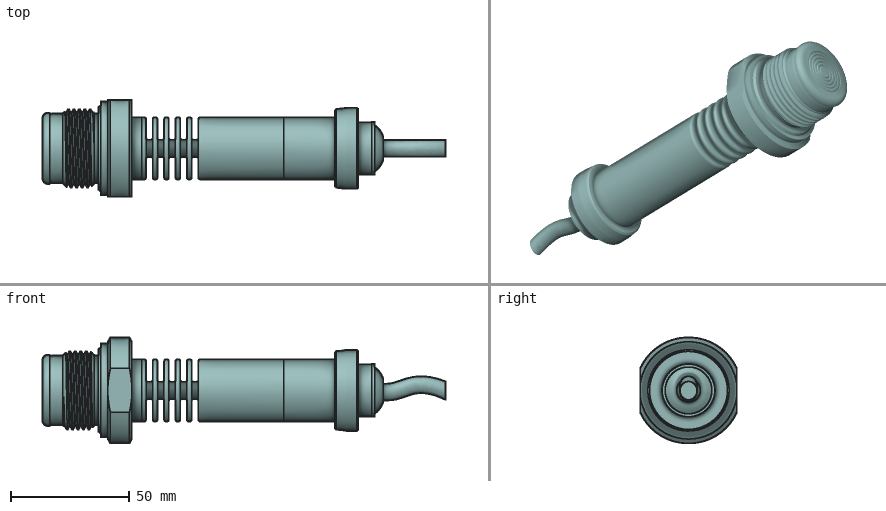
import cadquery as cq
import math


face_radius = 25.13 / 2
head_radius = 30.29 / 2
head_rounding = head_radius - face_radius
head_length = 3.1
head_rim_radius = face_radius + math.sqrt(head_rounding**2 - (head_length - head_rounding) ** 2)
groove_count = 5
groove_pitch = 1.6
groove_first_radius = 3.0
groove_width = 0.8
groove_depth = 0.3

shank_radius = 29.7 / 2
relief_radius = 14.6
relief_end = 4.7
thread_start = 8.75
thread_end = 22.1
thread_radius = 33.25 / 2
thread_pitch = 2.309
thread_depth = 0.6403 * thread_pitch
thread_flat = thread_pitch / 6
thread_chamfer = thread_radius - shank_radius
thread_tool_start = 7.05
thread_tool_turns = 7
thread_tool_overlap = 0.5
collar_start = 24.8
collar_radius = 39.8 / 2
flange_start = 27.8
flange_end = 37.9
flange_radius = 45 / 2
flange_across_flats = 41
flange_chamfer_length = 1.0
flange_chamfer_depth = 1.9
neck_end = 42.0
body_radius = 26.5 / 2

seal_start = 23.7
seal_front_radius = 17.5
seal_radius = 18.2

fin_count = 4
fin_thickness = 2.1
fin_gap = 2.73
fin_root_rounding = 0.5
fin_crest_width = 0.04
fin_rounding = (fin_thickness - fin_crest_width) / 2
fin_pitch = fin_thickness + fin_gap
cooler_shoulder = 43.95
core_radius = 7.5 / 2
tube_end = 102.2

sleeve_end = 123.8
nut_end = 133.8
nut_front_radius = 33.4 / 2
nut_radius = 34.4 / 2
nut_cone_end = 128.8
nut_front_chamfer = 0.7
nut_rear_chamfer = 0.7
gland_rim_start = 139.4
gland_rim_end = 140.6
gland_radius = 22.3 / 2
gland_rim_radius = 22.5 / 2
dome_end = 144.3
dome_base_radius = 9.9
dome_middle = (142.9, 7.7)
dome_tip_radius = 5.0

cable_radius = 7.2 / 2
cable_end = 170.73
cable_overrun = 2.5
cable_end_direction = (1, -0.4)
cable_path = [
    (dome_end, -0.75),
    (149, -0.35),
    (155, 1.6),
    (161.2, 2.4),
    (166.5, 1.45),
    (cable_end + cable_overrun, -1.1),
]


def turned(points):
    """Solid of revolution about X from an outline of (X, radius) points."""
    return cq.Workplane("XY").polyline(points).close().revolve(360, (0, 0, 0), (1, 0, 0))


def make_head():
    blank = (
        cq.Workplane("XY")
        .lineTo(0, face_radius)
        .threePointArc((head_rounding, head_radius), (head_length, head_rim_radius))
        .lineTo(head_length, 0)
        .close()
        .revolve(360, (0, 0, 0), (1, 0, 0))
    )
    for index in range(groove_count):
        radius = groove_first_radius + index * groove_pitch
        groove = (
            cq.Workplane("XY")
            .moveTo(0, radius - groove_width / 2)
            .threePointArc((groove_depth, radius), (0, radius + groove_width / 2))
            .close()
            .revolve(360, (0, 0, 0), (1, 0, 0))
        )
        blank = blank.cut(groove)
    return blank


def make_thread_groove():
    """Helical tool that cuts the space between the thread crests."""
    root_radius = thread_radius - thread_depth
    mouth_half = (thread_pitch - thread_flat) / 2
    root_half = thread_flat / 2
    flank_slope = (mouth_half - root_half) / thread_depth
    outer_half = mouth_half + thread_tool_overlap * flank_slope
    outer_radius = thread_radius + thread_tool_overlap
    helix = cq.Wire.makeHelix(thread_pitch, thread_tool_turns * thread_pitch, root_radius)
    tool = (
        cq.Workplane("XZ")
        .polyline(
            [
                (root_radius, -root_half),
                (root_radius, root_half),
                (outer_radius, outer_half),
                (outer_radius, -outer_half),
            ]
        )
        .close()
        .sweep(cq.Workplane(obj=helix), isFrenet=True)
    )
    return tool.rotate((0, 0, 0), (0, 1, 0), 90).translate((thread_tool_start, 0, 0))


def make_flange():
    disc = turned(
        [
            (flange_start, 0),
            (flange_start, flange_radius - flange_chamfer_depth),
            (flange_start + flange_chamfer_length, flange_radius),
            (flange_end - flange_chamfer_length, flange_radius),
            (flange_end, flange_radius - flange_chamfer_depth),
            (flange_end, 0),
        ]
    )
    flats = cq.Workplane("XY").box(4 * flange_end, flange_across_flats, 4 * flange_radius)
    return disc.intersect(flats)


def make_thread():
    """Cylinder with the helical thread, chamfered at both ends."""
    cylinder = turned(
        [(thread_start, 0), (thread_start, thread_radius), (thread_end, thread_radius), (thread_end, 0)]
    )
    chamfered = turned(
        [
            (thread_start, 0),
            (thread_start, shank_radius),
            (thread_start + thread_chamfer, thread_radius),
            (thread_end - thread_chamfer, thread_radius),
            (thread_end, shank_radius),
            (thread_end, 0),
        ]
    )
    return cylinder.cut(make_thread_groove()).intersect(chamfered)


def make_fitting():
    front_shank = turned(
        [
            (head_length, 0),
            (head_length, relief_radius),
            (relief_end, shank_radius),
            (thread_start, shank_radius),
            (thread_start, 0),
        ]
    )
    rear_shank = turned(
        [
            (thread_end, 0),
            (thread_end, shank_radius),
            (collar_start, shank_radius),
            (collar_start, collar_radius),
            (flange_start, collar_radius),
            (flange_start, body_radius),
            (neck_end, body_radius),
            (neck_end, 0),
        ]
    )
    return make_thread().union(front_shank).union(rear_shank).union(make_flange())


def make_seal():
    return turned(
        [
            (seal_start, shank_radius),
            (seal_start, seal_front_radius),
            (collar_start, seal_radius),
            (collar_start, shank_radius),
        ]
    )


def make_cooler():
    """Tube with deep ring gaps that leave rounded fins on a thin core."""
    cooler = turned([(neck_end, 0), (neck_end, body_radius), (tube_end, body_radius), (tube_end, 0)])
    for index in range(fin_count + 1):
        gap_start = cooler_shoulder + index * fin_pitch
        gap_end = gap_start + fin_gap
        gap = (
            cq.Workplane("XY")
            .moveTo(gap_start + fin_root_rounding, core_radius)
            .radiusArc((gap_start, core_radius + fin_root_rounding), fin_root_rounding)
            .lineTo(gap_start, body_radius - fin_rounding)
            .radiusArc((gap_start - fin_rounding, body_radius), -fin_rounding)
            .lineTo(gap_end + fin_rounding, body_radius)
            .radiusArc((gap_end, body_radius - fin_rounding), -fin_rounding)
            .lineTo(gap_end, core_radius + fin_root_rounding)
            .radiusArc((gap_end - fin_root_rounding, core_radius), fin_root_rounding)
            .close()
            .revolve(360, (0, 0, 0), (1, 0, 0))
        )
        cooler = cooler.cut(gap)
    return cooler


def make_sleeve():
    return turned([(tube_end, 0), (tube_end, body_radius), (sleeve_end, body_radius), (sleeve_end, 0)])


def make_nut():
    return turned(
        [
            (sleeve_end, 0),
            (sleeve_end, nut_front_radius - nut_front_chamfer),
            (sleeve_end + nut_front_chamfer, nut_front_radius),
            (nut_cone_end, nut_radius),
            (nut_end - nut_rear_chamfer, nut_radius),
            (nut_end, nut_radius - nut_rear_chamfer),
            (nut_end, 0),
        ]
    )


def make_gland():
    return (
        cq.Workplane("XY")
        .moveTo(nut_end, 0)
        .lineTo(nut_end, gland_radius)
        .lineTo(gland_rim_start, gland_radius)
        .lineTo(gland_rim_start, gland_rim_radius)
        .lineTo(gland_rim_end, gland_rim_radius)
        .lineTo(gland_rim_end, dome_base_radius)
        .threePointArc(dome_middle, (dome_end, dome_tip_radius))
        .lineTo(dome_end, 0)
        .close()
        .revolve(360, (0, 0, 0), (1, 0, 0))
    )


def make_cable():
    """Swept cable, cut off square to X at its free end."""
    path = cq.Workplane("XZ").spline(cable_path, tangents=[(1, 0), cable_end_direction])
    start_x, start_z = cable_path[0]
    section = cq.Workplane("YZ", origin=(start_x, 0, start_z)).circle(cable_radius)
    swept = section.sweep(path)
    return swept.intersect(cq.Workplane("XY").box(2 * cable_end, cable_end, cable_end))


head = make_head()
fitting = make_fitting()
seal = make_seal()
cooler = make_cooler()
sleeve = make_sleeve()
nut = make_nut()
gland = make_gland()
cable = make_cable()

result = cq.Compound.makeCompound(
    [
        head.val(),
        fitting.val(),
        seal.val(),
        cooler.val(),
        sleeve.val(),
        nut.val(),
        gland.val(),
        cable.val(),
    ]
)